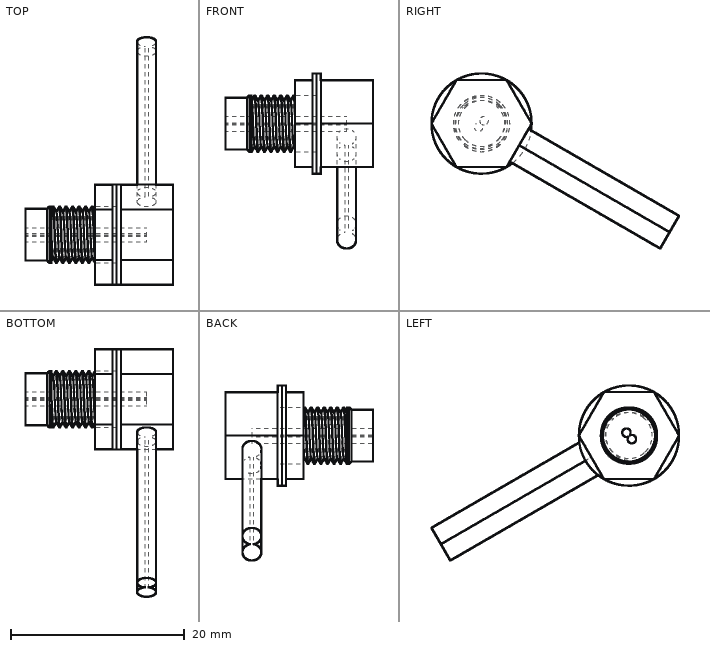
import cadquery as cq
import math


tip_length = 2.5
thread_start = 3.0
nut_thickness = 2.0
washer_thickness = 0.5
washer_count = 2
nut_start = 8.0
washers_start = nut_start + nut_thickness
head_start = washers_start + washer_count * washer_thickness
head_length = 6.0
cable_axis_x = 13.95

tip_diameter = 6.0
thread_diameter = 6.5
thread_pitch = 0.75
groove_width = 0.7
groove_depth = 0.6
groove_overshoot = 0.05

hex_across_flats = 10.0
washer_diameter = 11.57

fibre_diameter = 0.98
fibre_spacing = 0.96
fibre_pair_angle = 50.0
fibre_centre_y = -0.02
fibre_centre_z = -0.04
fibre_length = cable_axis_x

cable_diameter = 2.2
cable_spacing = 2.16
cable_length = 20.0
cable_drop_angle = 30.0


def cylinder(diameter, start, length, y=0.0, z=0.0):
    """Round bar along X."""
    plane = cq.Workplane("YZ", origin=(start, y, z))
    return plane.circle(diameter / 2).extrude(length)


def hexagon(start, length):
    """Hexagonal bar along X with flats facing up and down."""
    across_corners = hex_across_flats / math.cos(math.radians(30))
    return cq.Workplane("YZ", origin=(start, 0, 0)).polygon(6, across_corners).extrude(length)


def thread_groove():
    """Right-hand V groove whose root passes the top of the barrel at the thread start."""
    groove_start = thread_start - thread_pitch
    groove_length = nut_start - thread_start + 2 * thread_pitch
    crest_radius = thread_diameter / 2
    root_radius = crest_radius - groove_depth
    outer_radius = crest_radius + groove_overshoot
    outer_half_width = groove_width / 2 * (outer_radius - root_radius) / groove_depth

    helix = cq.Wire.makeHelix(thread_pitch, groove_length, crest_radius)
    profile = (
        cq.Workplane("XZ")
        .moveTo(root_radius, 0)
        .lineTo(outer_radius, outer_half_width)
        .lineTo(outer_radius, -outer_half_width)
        .close()
    )
    groove = profile.sweep(cq.Workplane(obj=helix), isFrenet=True)
    laid_over = cq.Plane(origin=(groove_start, 0, 0), xDir=(0, 0, 1), normal=(1, 0, 0))
    return cq.Workplane(groove.val().moved(cq.Location(laid_over)))


def make_thread():
    """Threaded length of the barrel, ending in flat faces at the collar and the nut."""
    spare = 3 * thread_pitch
    thread_length = nut_start - thread_start
    bar = cylinder(thread_diameter, thread_start - spare, thread_length + 2 * spare)
    trim = cylinder(2 * thread_diameter, thread_start, thread_length)
    return bar.cut(thread_groove()).intersect(trim)


def make_fibre():
    """Both strands side by side, from the tip face to the cable axis."""
    angle = math.radians(fibre_pair_angle)
    step_y = fibre_spacing / 2 * math.cos(angle)
    step_z = fibre_spacing / 2 * math.sin(angle)
    strands = [
        cylinder(
            fibre_diameter, 0, fibre_length,
            fibre_centre_y + side * step_y, fibre_centre_z + side * step_z,
        )
        for side in (1, -1)
    ]
    return strands[0].union(strands[1])


def make_tip():
    """Plain round tip butted against the chamfered end of the barrel."""
    return cylinder(tip_diameter, 0, tip_length).cut(make_fibre())


def make_housing():
    """Chamfered collar, thread, plain shank and hexagonal head, with the fibre passage."""
    chamfer = (thread_diameter - tip_diameter) / 2
    collar = cylinder(thread_diameter, tip_length, thread_start - tip_length)
    collar = collar.faces("<X").chamfer(chamfer)
    shank = cylinder(thread_diameter, nut_start, head_start - nut_start)
    head = hexagon(head_start, head_length)
    return head.union(shank).union(make_thread()).union(collar).cut(make_fibre())


def make_nut():
    """Hexagonal lock nut that fits the plain shank."""
    bore = cylinder(thread_diameter, nut_start, nut_thickness)
    return hexagon(nut_start, nut_thickness).cut(bore)


def make_washer(start):
    """Flat round washer on the plain shank."""
    bore = cylinder(thread_diameter, start, washer_thickness)
    return cylinder(washer_diameter, start, washer_thickness).cut(bore)


def make_cable():
    """Straight twin cable butted on the flat, its strands side by side across the flat."""
    angle = math.radians(cable_drop_angle)
    direction = cq.Vector(0, math.cos(angle), -math.sin(angle))
    start = cq.Vector(cable_axis_x, 0, 0) + direction * (hex_across_flats / 2)
    plane = cq.Plane(origin=start, xDir=(1, 0, 0), normal=direction)
    strands = [
        cq.Workplane(plane)
        .center(0, side * cable_spacing / 2)
        .circle(cable_diameter / 2)
        .extrude(cable_length)
        for side in (1, -1)
    ]
    return strands[0].union(strands[1])


tip = make_tip()
housing = make_housing()
nut = make_nut()
washers = [make_washer(washers_start + i * washer_thickness) for i in range(washer_count)]
fibre = make_fibre()
cable = make_cable()

bodies = [tip, housing, nut, *washers, fibre, cable]
result = cq.Compound.makeCompound([body.solids().val() for body in bodies])